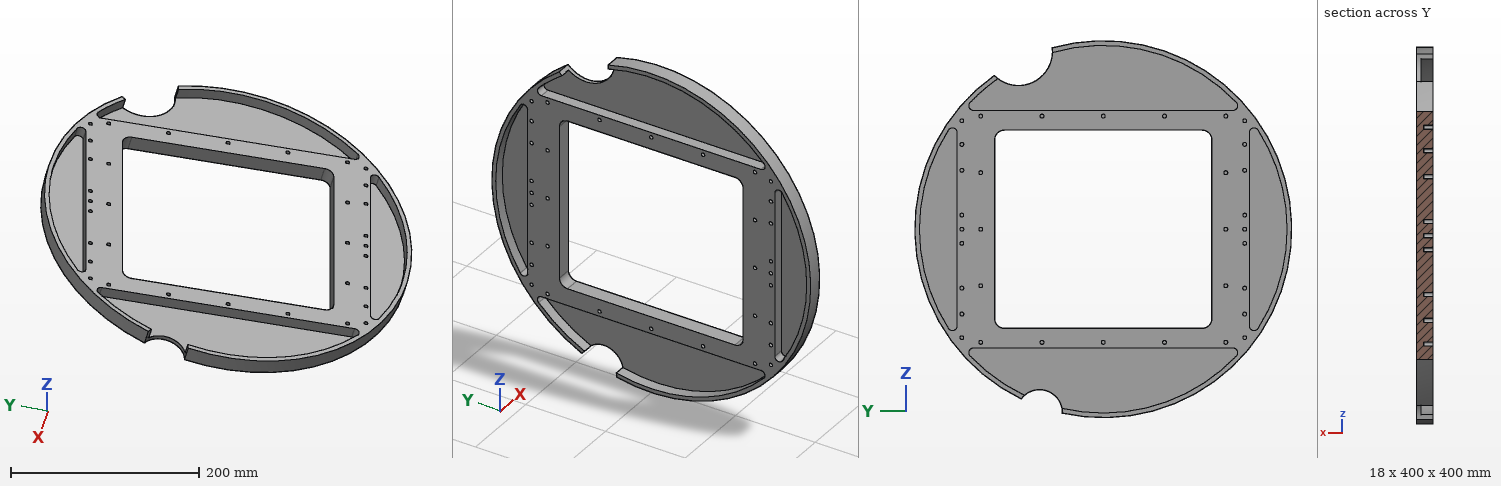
import cadquery as cq

PLATE_RADIUS = 200.0
PLATE_THICKNESS = 18.0

WINDOW_WIDTH = 230.0
WINDOW_HEIGHT = 210.0
WINDOW_CORNER_RADIUS = 10.0

RIM_WIDTH = 5.0
POCKET_FLOOR = 5.0
POCKET_CORNER_RADIUS = 5.0
SIDE_POCKET_EDGE = 155.0
END_POCKET_EDGE = 126.0

UPPER_NOTCH = (90.0, 188.5, 36.0)
LOWER_NOTCH = (67.6, -194.4, 24.1)

HOLE_DEPTH = 10.0
SCREW_HOLE_DIAMETER = 4.13
DOWEL_HOLE_DIAMETER = 4.0

FRAME_HOLE_REACH_Y = 130.0
FRAME_HOLE_REACH_Z = 120.0

COLUMN_HOLE_Y = 150.0
COLUMN_SCREW_HEIGHTS = (0.0, 62.5, 90.0)
COLUMN_DOWEL_HEIGHTS = (15.0, 115.0)

POCKET_DEPTH = PLATE_THICKNESS - POCKET_FLOOR


def yz_plane():
    """Sketch plane on the -X face: local x is Y, local y is Z, extrusion runs toward +X."""
    return cq.Workplane("YZ")


def pocket(edge_distance, direction):
    """Segment of the inner rim circle beyond a straight edge, on the given side of the centre."""
    inner_radius = PLATE_RADIUS - RIM_WIDTH
    disc = yz_plane().circle(inner_radius).extrude(POCKET_DEPTH)
    side = 2 * PLATE_RADIUS
    offset = edge_distance + side / 2
    block = yz_plane().center(direction[0] * offset, direction[1] * offset).rect(side, side)
    segment = disc.intersect(block.extrude(POCKET_DEPTH))
    return segment.edges("|X").fillet(POCKET_CORNER_RADIUS)


def notch(center_y, center_z, radius):
    """Round cutter through the full plate thickness."""
    return yz_plane().center(center_y, center_z).circle(radius).extrude(PLATE_THICKNESS)


def window():
    """Rounded rectangular opening through the plate."""
    block = yz_plane().rect(WINDOW_WIDTH, WINDOW_HEIGHT).extrude(PLATE_THICKNESS)
    return block.edges("|X").fillet(WINDOW_CORNER_RADIUS)


def holes(points, diameter):
    """Blind round holes in the -X face at the given (Y, Z) points."""
    return yz_plane().pushPoints(points).circle(diameter / 2).extrude(HOLE_DEPTH)


def frame_hole_points():
    """Evenly spaced positions, four intervals a side, around a rectangle enclosing the window."""
    steps = (-1.0, -0.5, 0.0, 0.5, 1.0)
    return [
        (u * FRAME_HOLE_REACH_Y, v * FRAME_HOLE_REACH_Z)
        for u in steps
        for v in steps
        if max(abs(u), abs(v)) == 1.0
    ]


def column_hole_points(heights):
    """Positions in both hole columns, mirrored about the Y and Z axes."""
    mirrored_heights = {sign * height for height in heights for sign in (-1, 1)}
    return [(side * COLUMN_HOLE_Y, z) for side in (-1, 1) for z in sorted(mirrored_heights)]


plate = yz_plane().circle(PLATE_RADIUS).extrude(PLATE_THICKNESS)
plate = plate.cut(window())

for sign in (-1, 1):
    plate = plate.cut(pocket(SIDE_POCKET_EDGE, (sign, 0)))
    plate = plate.cut(pocket(END_POCKET_EDGE, (0, sign)))

plate = plate.cut(notch(*UPPER_NOTCH))
plate = plate.cut(notch(*LOWER_NOTCH))

screw_points = frame_hole_points() + column_hole_points(COLUMN_SCREW_HEIGHTS)
dowel_points = column_hole_points(COLUMN_DOWEL_HEIGHTS)
plate = plate.cut(holes(screw_points, SCREW_HOLE_DIAMETER))
plate = plate.cut(holes(dowel_points, DOWEL_HOLE_DIAMETER))

result = plate